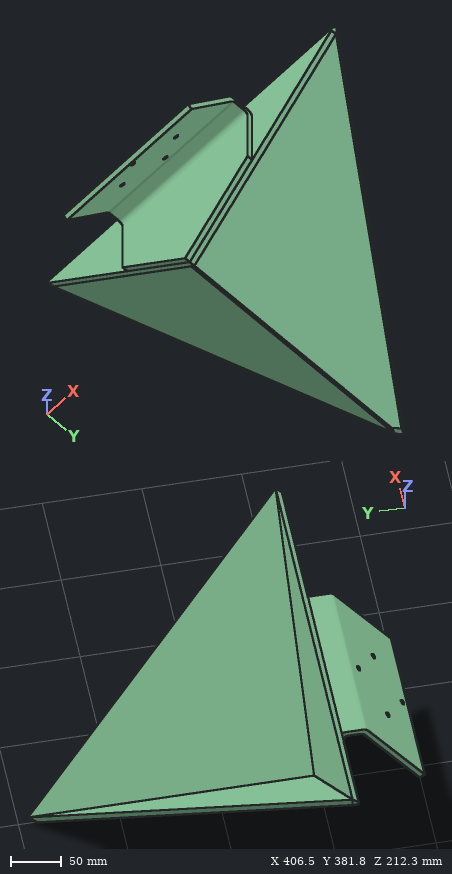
import cadquery as cq
import math


ROOT2 = math.sqrt(2)

rim_width = 406.5
half_rim = rim_width / 2
leg = rim_width / ROOT2
outer_drop = 9.0
plate = outer_drop / ROOT2

bracket_width = 177.5
bracket_top = bracket_width - outer_drop
lip_corner_y = -35.5
lip_length = 102.0
lip_angle = math.atan(ROOT2)
outer_bend = 7.0
inner_bend = 5.0
hole_diameter = 5.0
hole_count = 4
hole_circle_radius = 38.0
hole_center_distance = 54.5


def on_slope(along, depth, y, side):
    """Point up one side of the valley, at a depth outside the inner face."""
    return cq.Vector(side * (along + depth) / ROOT2, y, (along - depth) / ROOT2)


def prism(bottom, top):
    """Solid with planar faces between two matching polygons."""
    wires = [cq.Wire.makePolygon(points, close=True) for points in (bottom, top)]
    return cq.Workplane(cq.Solid.makeLoft(wires, True))


def side_plate(side, overlap):
    """Triangular plate whose lower edge may reach under the other side plate."""
    def triangle(depth):
        reach = leg - depth * ROOT2
        points = [
            on_slope(0, depth, 0, side),
            on_slope(reach, depth, 0, side),
            on_slope(0, depth, reach, side),
        ]
        if overlap > 0:
            points.append(on_slope(-overlap, depth, reach - overlap * ROOT2, side))
            points[0] = on_slope(-overlap, depth, 0, side)
        return points

    return prism(triangle(0), triangle(plate))


def front_plate():
    """Plate closing the front, covering the ends of both side plates."""
    bevel_end = on_slope(leg - plate * ROOT2, plate, 0, 1)
    outline = [
        (0, -outer_drop),
        (bevel_end.x, bevel_end.z),
        (half_rim, half_rim),
        (-half_rim, half_rim),
        (-bevel_end.x, bevel_end.z),
    ]
    body = cq.Workplane("XZ").polyline(outline).close().extrude(plate)
    bevel = (
        cq.Workplane("YZ")
        .polyline([(0, half_rim), (-plate, half_rim), (-plate, half_rim - plate)])
        .close()
        .extrude(half_rim, both=True)
    )
    return body.cut(bevel)


def round_bends(body, corners, radius):
    """Round the edges along X nearest to the given (y, z) corners."""
    edges = [
        body.edges("|X").edges(cq.NearestToPointSelector((0, y, z))).val()
        for y, z in corners
    ]
    return body.newObject(edges).fillet(radius)


def bracket():
    """Bent strip with a V-shaped back flange and a drilled sloping lip."""
    along = (-math.cos(lip_angle), -math.sin(lip_angle))
    inward = (math.sin(lip_angle), -math.cos(lip_angle))
    back = -plate
    inner_back = back - plate
    inner_top = bracket_top - plate
    inner_corner_y = lip_corner_y + plate * math.tan(lip_angle / 2)
    tip = (lip_corner_y + lip_length * along[0], bracket_top + lip_length * along[1])
    outer_back_corner = (back, bracket_top)
    outer_lip_corner = (lip_corner_y, bracket_top)
    inner_lip_corner = (inner_corner_y, inner_top)
    inner_back_corner = (inner_back, inner_top)
    profile = [
        (back, -outer_drop),
        outer_back_corner,
        outer_lip_corner,
        tip,
        (tip[0] + plate * inward[0], tip[1] + plate * inward[1]),
        inner_lip_corner,
        inner_back_corner,
        (inner_back, -outer_drop),
    ]
    body = cq.Workplane("YZ").polyline(profile).close().extrude(bracket_width / 2, both=True)

    body = round_bends(body, [outer_back_corner, outer_lip_corner], outer_bend)
    body = round_bends(body, [inner_lip_corner, inner_back_corner], inner_bend)

    half_width = bracket_width / 2
    for side in (-1, 1):
        below_v = (
            cq.Workplane("XZ", origin=(0, back, 0))
            .polyline([
                (0, -outer_drop),
                (side * half_width, half_width - outer_drop),
                (side * half_width, -outer_drop),
            ])
            .close()
            .extrude(plate)
        )
        body = body.cut(below_v)

    lip_plane = cq.Plane(
        origin=(
            0,
            lip_corner_y + hole_center_distance * along[0],
            bracket_top + hole_center_distance * along[1],
        ),
        xDir=(1, 0, 0),
        normal=(0, *inward),
    )
    holes = (
        cq.Workplane(lip_plane)
        .polarArray(hole_circle_radius, 0, 360, hole_count)
        .circle(hole_diameter / 2)
        .extrude(plate)
    )
    return body.cut(holes)


left_plate = side_plate(-1, 0)
right_plate = side_plate(1, plate)
front = front_plate()
mount = bracket()

result = cq.Compound.makeCompound([
    left_plate.val(),
    right_plate.val(),
    front.val(),
    mount.val(),
])